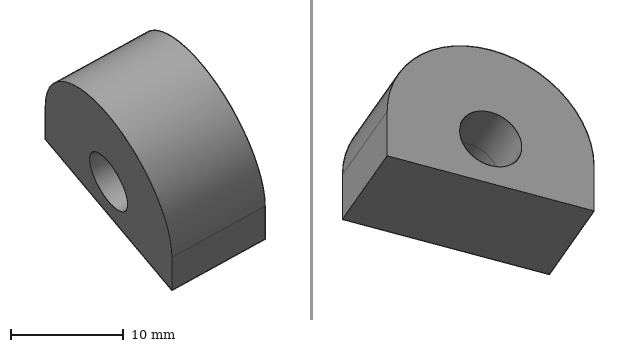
import cadquery as cq

width = 20.0
depth = 10.0
base_height = 5.0
bore_diameter = 6.0

crown_radius = width / 2

body = (
    cq.Workplane("XZ")
    .moveTo(-crown_radius, -base_height)
    .lineTo(crown_radius, -base_height)
    .lineTo(crown_radius, 0)
    .threePointArc((0, crown_radius), (-crown_radius, 0))
    .close()
    .extrude(depth / 2, both=True)
)

bore = cq.Workplane("XZ").circle(bore_diameter / 2).extrude(depth, both=True)

result = body.cut(bore)